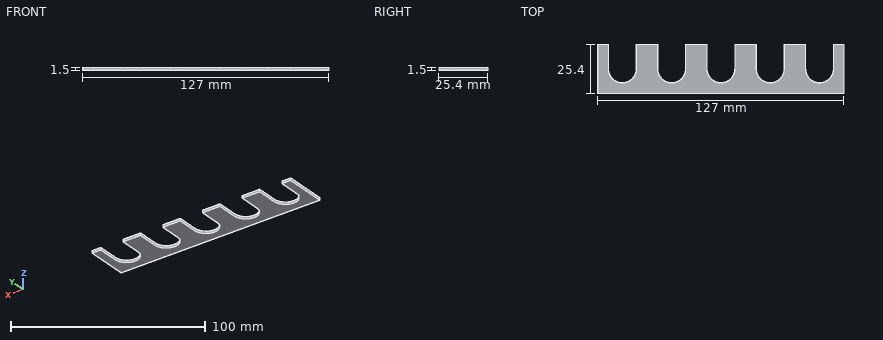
import cadquery as cq

length = 127.0
width = 25.4
thickness = 1.5

slot_count = 5
slot_pitch = length / slot_count
slot_width = 14.2
slot_radius = slot_width / 2
spine_width = 5.6
arc_center_y = spine_width + slot_radius


def slot_cutter(center_x):
    """U-shaped cutter running from the rounded slot bottom to the +Y edge."""
    left = center_x - slot_radius
    right = center_x + slot_radius
    return (
        cq.Workplane("XY")
        .moveTo(left, width)
        .lineTo(left, arc_center_y)
        .threePointArc((center_x, spine_width), (right, arc_center_y))
        .lineTo(right, width)
        .close()
        .extrude(thickness)
    )


result = cq.Workplane("XY").box(length, width, thickness, centered=False)
for index in range(slot_count):
    result = result.cut(slot_cutter((index + 0.5) * slot_pitch))